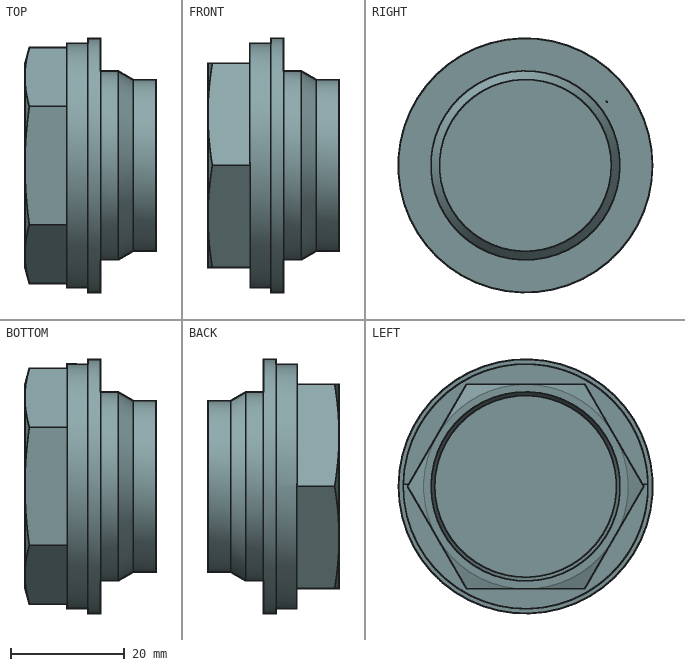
import cadquery as cq
import math

hex_across_flats = 35.95
hex_across_corners = hex_across_flats / math.cos(math.radians(30))
hex_length = 7.35
corner_chamfer_length = 0.75

recess_mouth_diameter = 33.23
recess_floor_diameter = 31.95
recess_depth = 3.55

collar_diameter = 43.0
collar_end = 11.05
collar_step_depth = 0.1
collar_step_height = 0.4
flange_diameter = 44.7
flange_end = 13.3
shoulder_diameter = 33.23
shoulder_end = 16.35
cone_end = 19.0
spigot_diameter = 30.2
total_length = 23.05


def revolve_about_x(points):
    """Revolve a closed (x, radius) outline about the X axis."""
    return cq.Workplane("XY").polyline(points).close().revolve(360, (0, 0, 0), (1, 0, 0))


def make_head():
    """Hexagon with corners on the Y axis and its end corners turned conical."""
    head_end = hex_length + collar_step_depth
    hexagon = cq.Workplane("YZ").polygon(6, hex_across_corners).extrude(head_end)
    corner_envelope = revolve_about_x([
        (0, 0),
        (0, hex_across_flats / 2),
        (corner_chamfer_length, hex_across_corners / 2),
        (head_end, hex_across_corners / 2),
        (head_end, 0),
    ])
    return hexagon.intersect(corner_envelope)


def make_body():
    """Collar, sealing flange, shoulder, cone and spigot in one revolved outline."""
    return revolve_about_x([
        (hex_length, 0),
        (hex_length, collar_diameter / 2),
        (collar_end, collar_diameter / 2),
        (collar_end, flange_diameter / 2),
        (flange_end, flange_diameter / 2),
        (flange_end, shoulder_diameter / 2),
        (shoulder_end, shoulder_diameter / 2),
        (cone_end, spigot_diameter / 2),
        (total_length, spigot_diameter / 2),
        (total_length, 0),
    ])


def make_recess():
    """Blind recess narrowing towards its flat floor."""
    return revolve_about_x([
        (0, 0),
        (0, recess_mouth_diameter / 2),
        (recess_depth, recess_floor_diameter / 2),
        (recess_depth, 0),
    ])


def make_collar_step():
    """Shallow relief of the collar face everywhere below a level just above the axis."""
    return (
        cq.Workplane("XY")
        .box(collar_step_depth, flange_diameter, flange_diameter, centered=(False, True, False))
        .translate((hex_length, 0, collar_step_height - flange_diameter))
    )


stepped_body = make_body().cut(make_collar_step())
result = make_head().union(stepped_body).cut(make_recess())